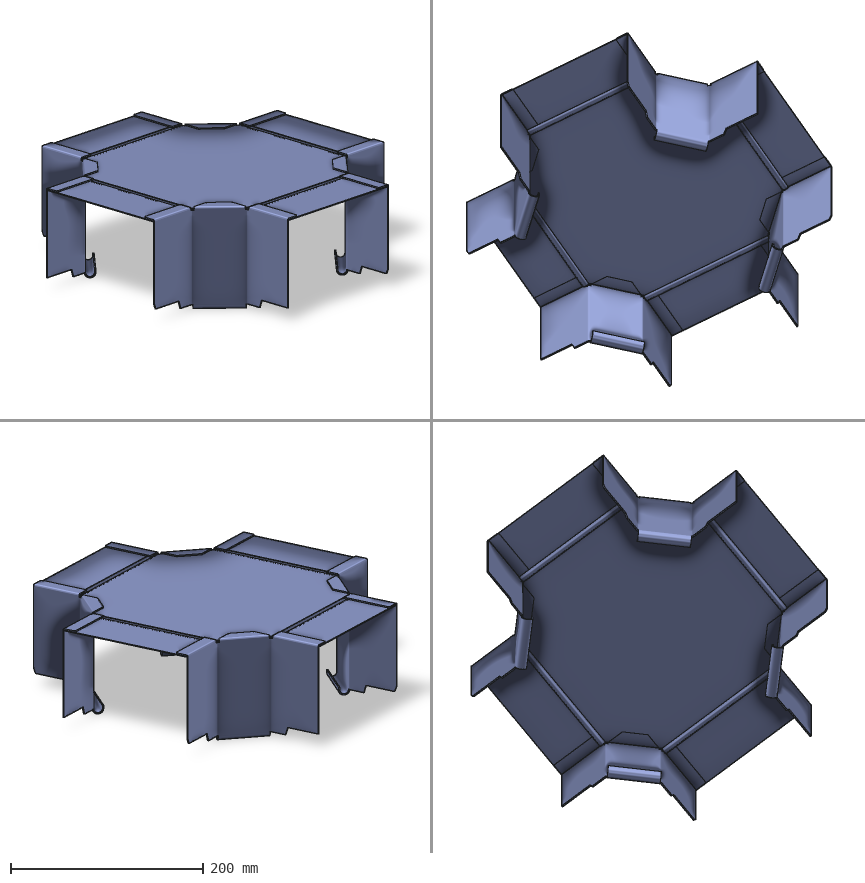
import cadquery as cq
import math

SPAN = 350.0
HEIGHT = 113.0
ARM_END = SPAN / 2

BRACKET_SHEET = 1.5
BEND = 2.0
FOLD = 1.8
WING_FACE = 77.0
WING_ROOT = 117.3
FLANGE = 15.0
FLANGE_CLIP = 1.5
LIP_RADIUS = 6.13
LIP_LEG = 2.8
LIP_SETBACK = 0.7
TIP_DEPTH = 98.5
STEP_TOP = 137.5
STEP_BOTTOM = 134.8
TIP_CLIP_LENGTH = 2.5
TIP_CLIP_HEIGHT = 6.0
RELIEF_RADIUS = 1.8
RELIEF_DEPTH = 3.5

COVER_SHEET = 1.0
BEAD_WIDTH = 6.0
BEAD_DEPTH = 2.5

DIAGONAL_FACE = (WING_FACE + WING_ROOT) / math.sqrt(2)
DIAGONAL_LENGTH = (WING_ROOT - WING_FACE) * math.sqrt(2)
WALL_BOTTOM = LIP_RADIUS - HEIGHT


def turned(body, quarters):
    """Turn a body about Z by a number of quarter turns."""
    return body.rotate((0, 0, 0), (0, 0, 1), 90 * quarters)


def fold_edges(face, root):
    """Select the two fold edges at (face, root) and (root, face), over the full height."""
    margin = BRACKET_SHEET / 10
    low = face - margin
    high = root + margin
    return cq.selectors.BoxSelector((low, low, -HEIGHT), (high, high, 0))


def make_walls():
    """Both wings and the diagonal wall in one strip, with rounded folds and no flanges."""
    inner_face = WING_FACE - BRACKET_SHEET
    inner_root = WING_ROOT - BRACKET_SHEET * math.tan(math.radians(22.5))
    walls = (
        cq.Workplane("XY", origin=(0, 0, WALL_BOTTOM))
        .polyline([
            (ARM_END, WING_FACE),
            (WING_ROOT, WING_FACE),
            (WING_FACE, WING_ROOT),
            (WING_FACE, ARM_END),
            (inner_face, ARM_END),
            (inner_face, inner_root),
            (inner_root, inner_face),
            (ARM_END, inner_face),
        ])
        .close()
        .extrude(-BEND - WALL_BOTTOM)
    )
    walls = walls.edges("|Z").edges(fold_edges(WING_FACE, WING_ROOT)).fillet(FOLD)
    return walls.edges("|Z").edges(fold_edges(inner_face, inner_root)).fillet(FOLD + BRACKET_SHEET)


def flange_strip(plane, origin, face, length):
    """Flange with its bend, along a wall whose outer face lies at the given distance."""
    inner_bend = BEND - BRACKET_SHEET
    center = face - BEND
    outer_mid = BEND * math.sqrt(0.5)
    inner_mid = inner_bend * math.sqrt(0.5)
    return (
        cq.Workplane(plane, origin=origin)
        .moveTo(face - FLANGE, 0)
        .lineTo(center, 0)
        .threePointArc((center + outer_mid, outer_mid - BEND), (face, -BEND))
        .lineTo(face - BRACKET_SHEET, -BEND)
        .threePointArc((center + inner_mid, inner_mid - BEND), (center, -BRACKET_SHEET))
        .lineTo(face - FLANGE, -BRACKET_SHEET)
        .close()
        .extrude(length)
    )


def make_wing_flange():
    """Flange of the +X wing, with a clipped corner at the tip."""
    start = WING_ROOT + RELIEF_RADIUS
    edge = WING_FACE - FLANGE
    flange = flange_strip("YZ", (start, 0, 0), WING_FACE, ARM_END - start)
    clip = (
        cq.Workplane("XY")
        .polyline([(ARM_END, edge), (ARM_END - FLANGE_CLIP, edge), (ARM_END, edge + FLANGE_CLIP)])
        .close()
        .extrude(-BRACKET_SHEET)
    )
    return flange.cut(clip)


def make_tab():
    """Flange of the diagonal wall, its ends in line with the outer faces of the wings."""
    half_length = DIAGONAL_LENGTH / 2 - RELIEF_RADIUS
    strip = flange_strip("XZ", (0, half_length, 0), DIAGONAL_FACE, 2 * half_length)
    between_wings = cq.Workplane("XY").box(ARM_END, ARM_END, 2 * BEND, centered=(False, False, True))
    return strip.rotate((0, 0, 0), (0, 0, 1), 45).intersect(
        between_wings.translate((WING_FACE, WING_FACE, 0))
    )


def make_lip():
    """Lip rolled inward and up under the diagonal wall."""
    half_length = DIAGONAL_LENGTH / 2 - LIP_SETBACK
    roll_center = DIAGONAL_FACE - LIP_RADIUS
    back = DIAGONAL_FACE - 2 * LIP_RADIUS
    top = WALL_BOTTOM + LIP_LEG
    lip = (
        cq.Workplane("XZ", origin=(0, half_length, 0))
        .moveTo(DIAGONAL_FACE, WALL_BOTTOM)
        .threePointArc((roll_center, -HEIGHT), (back, WALL_BOTTOM))
        .lineTo(back, top)
        .lineTo(back + BRACKET_SHEET, top)
        .lineTo(back + BRACKET_SHEET, WALL_BOTTOM)
        .threePointArc(
            (roll_center, BRACKET_SHEET - HEIGHT), (DIAGONAL_FACE - BRACKET_SHEET, WALL_BOTTOM)
        )
        .close()
        .extrude(2 * half_length)
    )
    return lip.rotate((0, 0, 0), (0, 0, 1), 45)


def wing_cutter(points):
    """Prism through the +X wing from an outline of (x, z) points."""
    return (
        cq.Workplane("XZ", origin=(0, WING_FACE, 0)).polyline(points).close().extrude(BRACKET_SHEET)
    )


def mirrored(body):
    """Swap X and Y, which carries the +X wing onto the +Y wing."""
    return turned(body.mirror("XZ"), 1)


def make_bracket():
    """Corner bracket for the +X +Y corner."""
    wing_flange = make_wing_flange()
    bracket = (
        make_walls()
        .union(wing_flange)
        .union(mirrored(wing_flange))
        .union(make_tab())
        .union(make_lip())
    )

    step = wing_cutter([
        (STEP_BOTTOM, WALL_BOTTOM),
        (STEP_TOP, -TIP_DEPTH),
        (ARM_END, -TIP_DEPTH),
        (ARM_END, WALL_BOTTOM),
    ])
    tip_clip = wing_cutter([
        (ARM_END, -TIP_DEPTH),
        (ARM_END - TIP_CLIP_LENGTH, -TIP_DEPTH),
        (ARM_END, -TIP_DEPTH + TIP_CLIP_HEIGHT),
    ])
    reliefs = (
        cq.Workplane("XY")
        .pushPoints([(WING_ROOT, WING_FACE), (WING_FACE, WING_ROOT)])
        .circle(RELIEF_RADIUS)
        .extrude(-RELIEF_DEPTH)
    )
    return bracket.cut(step).cut(mirrored(step)).cut(tip_clip).cut(reliefs)


def make_cover():
    """Cover under the bracket flanges: an octagon with four arms, a bead across each arm root."""
    top = -BRACKET_SHEET
    half_arm = WING_FACE - BEND
    sheet = cq.Workplane("XY", origin=(0, 0, top))

    def plate(x_size, y_size):
        return sheet.rect(x_size, y_size).extrude(-COVER_SHEET)

    diagonal_size = 2 * (DIAGONAL_FACE - BEND)
    octagon = plate(2 * WING_ROOT, 2 * WING_ROOT).intersect(
        plate(diagonal_size, diagonal_size).rotate((0, 0, 0), (0, 0, 1), 45)
    )
    cover = octagon.union(plate(SPAN, 2 * half_arm)).union(plate(2 * half_arm, SPAN))

    def bead(growth):
        """Round-bottomed bar across the +X arm root, grown outward from the groove."""
        middle = WING_ROOT + BEAD_WIDTH / 2
        half_width = BEAD_WIDTH / 2 + growth
        return (
            cq.Workplane("XZ", origin=(0, half_arm, 0))
            .moveTo(middle - half_width, top)
            .threePointArc((middle, top - BEAD_DEPTH - growth), (middle + half_width, top))
            .close()
            .extrude(2 * half_arm)
        )

    groove = bead(0)
    ridge = bead(COVER_SHEET)
    for arm in range(4):
        cover = cover.union(turned(ridge, arm)).cut(turned(groove, arm))
    return cover


cover = make_cover()
bracket = make_bracket()
brackets = [turned(bracket, corner).solids().val() for corner in range(4)]

result = cq.Compound.makeCompound([cover.solids().val(), *brackets])